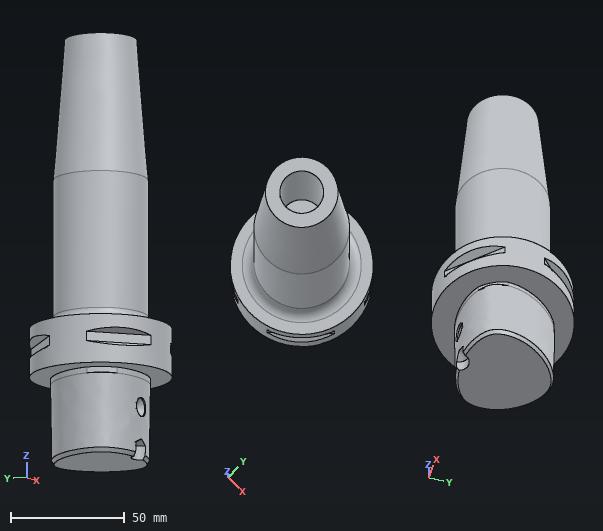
import cadquery as cq
import math

total_height = 190.4
chamfer_height = 1.9
neck_bottom = 35.6
flange_bottom = 38.3
flange_top = 60.2
taper_start = 127.0

flange_radius = 63.0 / 2
body_radius = 42.0 / 2
nose_radius = 16.0
root_fillet = 5.1
bore_radius = 19.2 / 2
bore_depth = 51.5

lobe_height = 1.43
shank_top_radius = 22.0
shank_taper = 0.48
shank_bottom_radius = shank_top_radius - shank_taper
shank_chamfer = 1.1
neck_radius = 22.7
outline_points = 48

slot_count = 4
slot_first_angle = 45.0
slot_center = 50.3
slot_floor_distance = 27.8
slot_floor_height = 4.2
slot_flank_angle = 27.0

dimple_height = 22.8
dimple_radius = 4.2
dimple_wall_depth = 1.0
dimple_tip_depth = 4.4
notch_radius = 4.4
notch_wall_height = 6.3
notch_tip_height = 8.5


def lobed_wire(mean_radius, height):
    """Closed curve of constant width whose support distance is mean + lobe * cos(3 * angle)."""
    points = []
    for index in range(outline_points):
        angle = 2 * math.pi * index / outline_points
        reach = mean_radius + lobe_height * math.cos(3 * angle)
        slope = -3 * lobe_height * math.sin(3 * angle)
        along = reach * math.cos(angle) - slope * math.sin(angle)
        across = reach * math.sin(angle) + slope * math.cos(angle)
        points.append(cq.Vector(-across, along, height))
    return cq.Wire.assembleEdges([cq.Edge.makeSpline(points, periodic=True)])


def lobed_section(lower_radius, lower_height, upper_radius, upper_height):
    lower = lobed_wire(lower_radius, lower_height)
    upper = lobed_wire(upper_radius, upper_height)
    return cq.Workplane(obj=cq.Solid.makeLoft([lower, upper], True))


def make_body():
    fillet_middle = root_fillet * (1 - math.sqrt(0.5))
    profile = (
        cq.Workplane("XZ")
        .moveTo(0, flange_bottom)
        .lineTo(flange_radius, flange_bottom)
        .lineTo(flange_radius, flange_top)
        .lineTo(body_radius + root_fillet, flange_top)
        .threePointArc(
            (body_radius + fillet_middle, flange_top + fillet_middle),
            (body_radius, flange_top + root_fillet),
        )
        .lineTo(body_radius, taper_start)
        .lineTo(nose_radius, total_height)
        .lineTo(0, total_height)
        .close()
    )
    body = profile.revolve(360, (0, 0, 0), (0, 1, 0))
    bore = cq.Workplane(obj=cq.Solid.makeCylinder(
        bore_radius, bore_depth, cq.Vector(0, 0, total_height - bore_depth)
    ))
    return body.cut(bore)


def make_shank():
    tip = lobed_section(shank_bottom_radius - shank_chamfer, 0, shank_bottom_radius, chamfer_height)
    taper = lobed_section(shank_bottom_radius, chamfer_height, shank_top_radius, neck_bottom)
    neck = lobed_section(shank_top_radius, neck_bottom, shank_top_radius, flange_bottom)
    neck_limit = cq.Workplane("XY", origin=(0, 0, neck_bottom)).circle(neck_radius)
    neck = neck.intersect(neck_limit.extrude(flange_bottom - neck_bottom))
    return taper.union(tip).union(neck)


def make_gripper_slot():
    """Straight slot with a flat floor and flanks that open outward, facing +X."""
    depth = flange_radius - slot_floor_distance
    floor_half = slot_floor_height / 2
    mouth_half = floor_half + depth * math.tan(math.radians(slot_flank_angle))
    profile = cq.Workplane("XZ").polyline([
        (slot_floor_distance, slot_center - floor_half),
        (flange_radius, slot_center - mouth_half),
        (flange_radius, slot_center + mouth_half),
        (slot_floor_distance, slot_center + floor_half),
    ])
    return profile.close().extrude(flange_radius, both=True)


def make_dimple():
    """Shallow radial drilling with a conical end, started outside the shank."""
    flat_distance = shank_top_radius - lobe_height
    profile = cq.Workplane("XY", origin=(0, -flat_distance, dimple_height)).polyline([
        (0, -dimple_radius),
        (dimple_radius, -dimple_radius),
        (dimple_radius, dimple_wall_depth),
        (0, dimple_tip_depth),
    ])
    return profile.close().revolve(360, (0, 0, 0), (0, 1, 0))


def make_key_notch():
    """Vertical drilled notch with a conical end, centred on the flat's surface."""
    flat_distance = shank_bottom_radius - lobe_height
    profile = cq.Workplane("XZ", origin=(0, -flat_distance, 0)).polyline([
        (0, 0),
        (notch_radius, 0),
        (notch_radius, notch_wall_height),
        (0, notch_tip_height),
    ])
    return profile.close().revolve(360, (0, 0, 0), (0, 1, 0))


result = make_body().union(make_shank())
for slot_index in range(slot_count):
    slot_angle = slot_first_angle + slot_index * 360 / slot_count
    result = result.cut(make_gripper_slot().rotate((0, 0, 0), (0, 0, 1), slot_angle))
result = result.cut(make_dimple()).cut(make_key_notch())